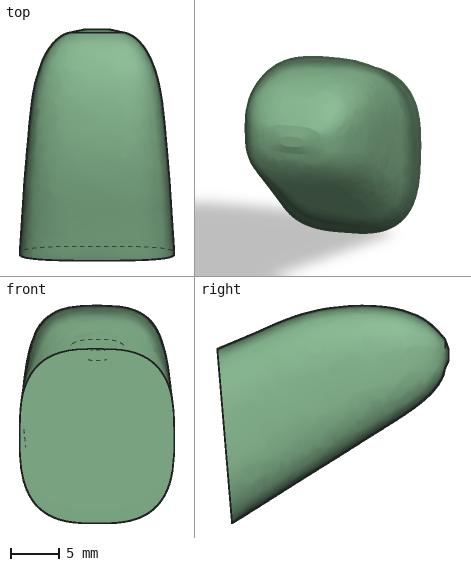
import cadquery as cq
import math

BODY_SECTIONS = [
    (0, 18.1, 1.54, 0, 16.05),
    (2.4, 19.08, 3.6, 1.3, 15.77),
    (4.8, 20.14, 5.88, 2.74, 15.45),
    (9.12, 21.8, 9.85, 5.23, 14.88),
    (13.92, 22.55, 14.28, 8.02, 14.06),
    (17.28, 22.46, 17.52, 10.05, 13.25),
    (20.15, 21.8, 20.15, 11.78, 11.8),
    (22.15, 20.65, 22.15, 13.45, 9.75),
    (23.62, 19.1, 23.62, 16.05, 6),
]
NOSE_SECTION = (24, 18, 24, 16.9, 2.4)

SECTION_EXPONENT = 2.9
POINTS_PER_SECTION = 32


def superellipse_point(angle, half_width, half_height):
    """Point of a rounded-rectangle-like superellipse centred on the origin."""
    power = 2 / SECTION_EXPONENT
    x = half_width * math.copysign(abs(math.cos(angle)) ** power, math.cos(angle))
    y = half_height * math.copysign(abs(math.sin(angle)) ** power, math.sin(angle))
    return x, y


def section_wire(top_y, top_z, bottom_y, bottom_z, width):
    """Closed smooth section in the plane through its top and bottom points."""
    rise_y = top_y - bottom_y
    rise_z = top_z - bottom_z
    half_height = math.hypot(rise_y, rise_z) / 2
    plane = cq.Plane(
        origin=(0, (top_y + bottom_y) / 2, (top_z + bottom_z) / 2),
        xDir=(1, 0, 0),
        normal=(0, -rise_z, rise_y),
    )
    points = [
        superellipse_point(2 * math.pi * i / POINTS_PER_SECTION, width / 2, half_height)
        for i in range(POINTS_PER_SECTION)
    ]
    edge = cq.Edge.makeSpline([plane.toWorldCoords(p) for p in points], periodic=True)
    return cq.Wire.assembleEdges([edge])


body_wires = [section_wire(*section) for section in BODY_SECTIONS]
body = cq.Workplane(cq.Solid.makeLoft(body_wires))

cap = cq.Solid.makeLoft([body_wires[-1], section_wire(*NOSE_SECTION)], True)

result = body.union(cap)